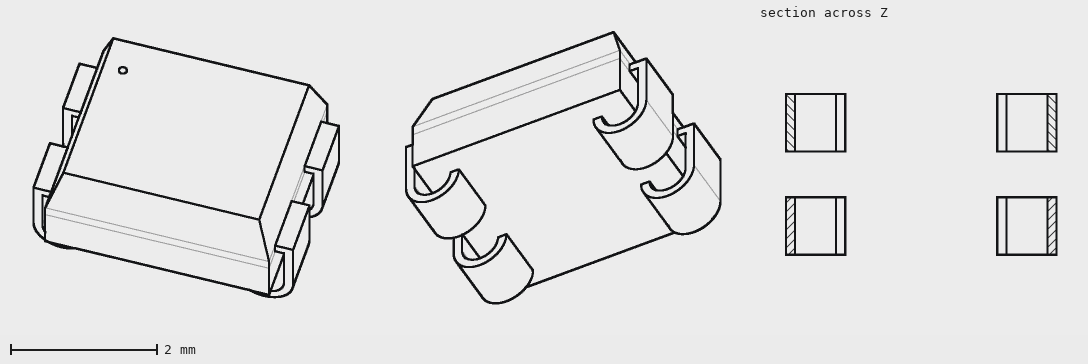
import cadquery as cq

overall_length = 3.71
overall_height = 1.86

housing_length = 3.198
housing_width = 2.79
housing_height = 1.395
band_height = 0.155
cap_inset = 0.2
lower_height = 0.612
cap_height = housing_height - band_height - lower_height
housing_bottom = overall_height - housing_height
band_bottom = housing_bottom + lower_height
band_top = band_bottom + band_height

marker_diameter = 0.11
marker_depth = 0.037
marker_x = -1.115

lead_thickness = 0.13
lead_width = 0.79
lead_pitch = 1.415
bend_outer_radius = 0.408
bend_inner_radius = bend_outer_radius - lead_thickness
lead_top = band_bottom + (band_height + lead_thickness) / 2


def make_marker():
    """Flat disc in line with the leads on the +Y side."""
    return (
        cq.Workplane("XY", origin=(marker_x, lead_pitch / 2, overall_height - marker_depth))
        .circle(marker_diameter / 2)
        .extrude(marker_depth)
    )


def make_block(bottom, height):
    """Straight-sided block with the full housing footprint."""
    return cq.Workplane("XY", origin=(0, 0, bottom)).rect(housing_length, housing_width).extrude(height)


def make_cap():
    """Cap whose four sides slope inward to a smaller top face."""
    return (
        cq.Workplane("XY", origin=(0, 0, band_top))
        .rect(housing_length, housing_width)
        .workplane(offset=cap_height)
        .rect(housing_length - 2 * cap_inset, housing_width - 2 * cap_inset)
        .loft(ruled=True)
    )


def make_housing():
    """One solid; clean=False keeps the parting line below the band."""
    lower = make_block(housing_bottom, lower_height)
    band = make_block(band_bottom, band_height)
    body = lower.union(band, clean=False).union(make_cap(), clean=False)
    return body.cut(make_marker(), clean=False)


def make_lead(side, y_center):
    """J lead from the housing wall, down and curled under; side is -1 or +1 along X."""
    wall_x = side * housing_length / 2
    outer_x = side * overall_length / 2
    inner_x = outer_x - side * lead_thickness
    bend_x = outer_x - side * bend_outer_radius
    bend_z = bend_outer_radius
    return (
        cq.Workplane("XZ", origin=(0, y_center + lead_width / 2, 0))
        .moveTo(wall_x, lead_top)
        .lineTo(outer_x, lead_top)
        .lineTo(outer_x, bend_z)
        .threePointArc((bend_x, bend_z - bend_outer_radius), (bend_x - side * bend_outer_radius, bend_z))
        .lineTo(bend_x - side * bend_inner_radius, bend_z)
        .threePointArc((bend_x, bend_z - bend_inner_radius), (inner_x, bend_z))
        .lineTo(inner_x, lead_top - lead_thickness)
        .lineTo(wall_x, lead_top - lead_thickness)
        .close()
        .extrude(lead_width)
    )


housing = make_housing()
marker = make_marker()
leads = []
for lead_side in (-1, 1):
    for lead_y in (-lead_pitch / 2, lead_pitch / 2):
        leads.append(make_lead(lead_side, lead_y).val())

result = cq.Compound.makeCompound([housing.solids().val(), marker.val(), *leads])